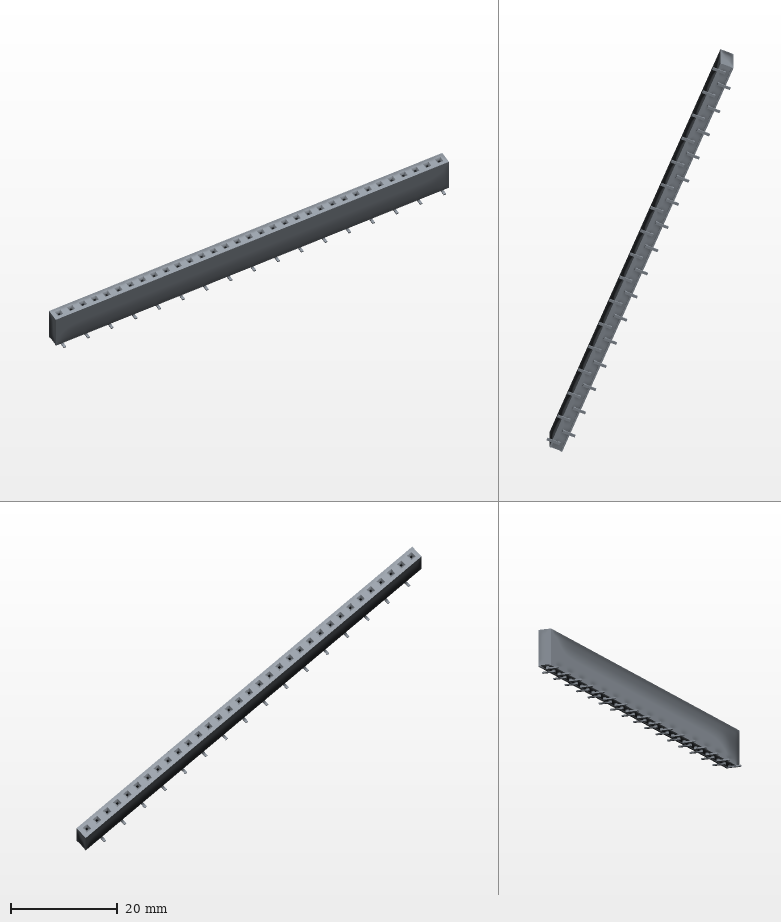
import cadquery as cq

LENGTH = 84.0
WIDTH = 2.6
TOTAL_HEIGHT = 7.4
STANDOFF = 0.29

GROOVE_WIDTH = 1.9
GROOVE_TOP = 0.5

CONTACT_COUNT = 33
PITCH = 2.54

LEAD_IN_SIZE = 1.2
HOLE_SIZE = 0.4
LEAD_IN_DEPTH = (LEAD_IN_SIZE - HOLE_SIZE) / 2
HOLE_DEPTH = 5.0

TAIL_SPAN = 4.6
TAIL_WIDTH = 0.5
TAIL_THICKNESS = 0.25

FIRST_CONTACT_Y = -PITCH * (CONTACT_COUNT - 1) / 2
contact_ys = [FIRST_CONTACT_Y + i * PITCH for i in range(CONTACT_COUNT)]


def box_between(size_x, size_y, bottom, top):
    """Box centred on the Z axis that reaches from bottom to top."""
    return cq.Workplane("XY", origin=(0, 0, bottom)).rect(size_x, size_y).extrude(top - bottom)


def make_housing():
    bar = box_between(WIDTH, LENGTH, STANDOFF, TOTAL_HEIGHT)
    groove = box_between(GROOVE_WIDTH, LENGTH, STANDOFF, GROOVE_TOP)
    return bar.cut(groove)


def make_socket():
    """Space taken out of the housing by one socket centred on the Z axis."""
    lead_in = (
        cq.Workplane("XY", origin=(0, 0, TOTAL_HEIGHT))
        .rect(LEAD_IN_SIZE, LEAD_IN_SIZE)
        .workplane(offset=-LEAD_IN_DEPTH)
        .rect(HOLE_SIZE, HOLE_SIZE)
        .loft()
    )
    hole = box_between(HOLE_SIZE, HOLE_SIZE, TOTAL_HEIGHT - HOLE_DEPTH, TOTAL_HEIGHT - LEAD_IN_DEPTH)
    return lead_in.union(hole).val()


def make_tail(side):
    """Tail that leaves the housing on one side (+1 is +X, -1 is -X), with a stem up to the groove top."""
    tail_length = (TAIL_SPAN + TAIL_WIDTH) / 2
    tail = box_between(tail_length, TAIL_WIDTH, 0, TAIL_THICKNESS)
    tail = tail.translate((side * (TAIL_SPAN - tail_length) / 2, 0, 0))
    stem = box_between(TAIL_WIDTH, TAIL_WIDTH, 0, GROOVE_TOP)
    return tail.union(stem).val()


def copies_along_y(shape, places):
    """Copies of a shape moved along Y to each of the given places."""
    return [shape.translate(cq.Vector(0, y, 0)) for y in places]


sockets = copies_along_y(make_socket(), contact_ys)

right_tails = copies_along_y(make_tail(1), contact_ys[0::2])
left_tails = copies_along_y(make_tail(-1), contact_ys[1::2])

housing = make_housing().val().cut(*sockets)
result = cq.Workplane(housing.fuse(*right_tails, *left_tails))